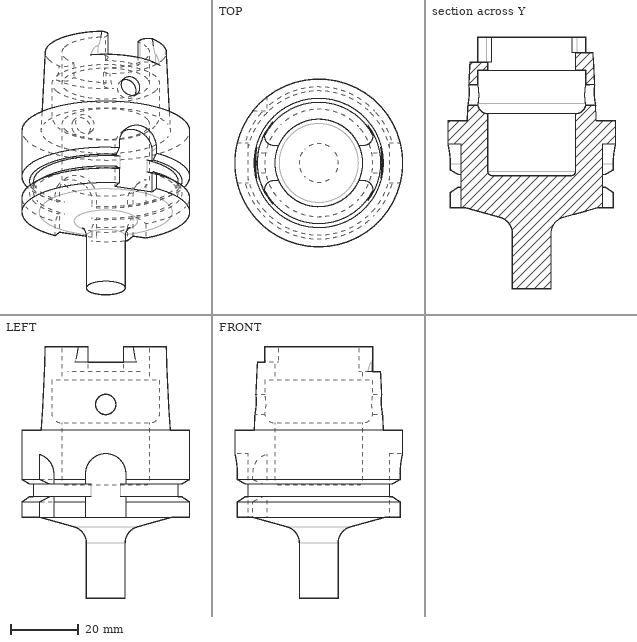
import cadquery as cq
import math

total_height = 74.9

shank_radius = 11.6 / 2
shank_top = 16.5
blend_radius = 4.95
dish_angle = math.radians(15.5)

flange_radius = 49.95 / 2
flange_bottom = 24.1
flange_top = 50.0
groove_radius = 21.5
lip_inner_radius = 22.7
lower_lip_start = 28.7
groove_bottom = 30.25
groove_top = 34.0
upper_lip_end = 35.35

nose_base_radius = 19.25
nose_top_radius = 18.05
bore_radius = 26.1 / 2
chamber_radius = 32.05 / 2
chamber_top = 65.0
chamber_fillet_top = 55.1
chamber_fillet = chamber_radius - bore_radius
floor_radius = 11.75
floor_fillet = bore_radius - floor_radius
floor_height = 33.7
pin_hole_diameter = 6.0
pin_hole_height = 57.7

notch_half_width = 5.25
notch_floor_left = 70.25
notch_floor_right = 67.4
lug_round_radius = 2.7
lug_round_x = 13.4
lug_round_y = notch_half_width + lug_round_radius
lug_flank_length = 3.75

slot_radius = 6.0
slot_arc_height = 37.1
slot_floor_x = 21.05
side_slot_floor_x = 15.4
side_slot_y = side_slot_floor_x + slot_radius

cut_reach = 2 * flange_radius


def revolved_body():
    """Outer shape: shank, blend, dish, grooved flange and tapered nose."""
    blend_x = shank_radius + blend_radius

    def blend_point(angle):
        return (
            blend_x - blend_radius * math.sin(angle),
            shank_top + blend_radius * math.cos(angle),
        )

    blend_end = blend_point(dish_angle)
    blend_middle = blend_point((dish_angle + math.pi / 2) / 2)
    dish_radius = blend_end[0] + (flange_bottom - blend_end[1]) / math.tan(dish_angle)
    return (
        cq.Workplane("XZ")
        .lineTo(shank_radius, 0)
        .lineTo(shank_radius, shank_top)
        .threePointArc(blend_middle, blend_end)
        .lineTo(dish_radius, flange_bottom)
        .lineTo(flange_radius, flange_bottom)
        .lineTo(flange_radius, lower_lip_start)
        .lineTo(lip_inner_radius, groove_bottom)
        .lineTo(groove_radius, groove_bottom)
        .lineTo(groove_radius, groove_top)
        .lineTo(lip_inner_radius, groove_top)
        .lineTo(flange_radius, upper_lip_end)
        .lineTo(flange_radius, flange_top)
        .lineTo(nose_base_radius, flange_top)
        .lineTo(nose_top_radius, total_height)
        .lineTo(0, total_height)
        .close()
        .revolve(360, (0, 0, 0), (0, 1, 0))
    )


def nose_cavity():
    """Blind bore with a filleted floor and a wider chamber partway down."""
    return (
        cq.Workplane("XZ")
        .moveTo(0, floor_height)
        .lineTo(floor_radius, floor_height)
        .radiusArc((bore_radius, floor_height + floor_fillet), -floor_fillet)
        .lineTo(bore_radius, chamber_fillet_top - chamber_fillet)
        .radiusArc((chamber_radius, chamber_fillet_top), -chamber_fillet)
        .lineTo(chamber_radius, chamber_top)
        .lineTo(bore_radius, chamber_top)
        .lineTo(bore_radius, total_height)
        .lineTo(0, total_height)
        .close()
        .revolve(360, (0, 0, 0), (0, 1, 0))
    )


def pin_hole():
    """Cross hole along X through both nose walls."""
    return (
        cq.Workplane("YZ")
        .center(0, pin_hole_height)
        .circle(pin_hole_diameter / 2)
        .extrude(cut_reach, both=True)
    )


def drive_notch(floor_z):
    """Notch on the +X side; its outer corners are rounded and run out through the nose."""
    depth = total_height - floor_z
    out_angle = math.atan2(lug_round_y, lug_round_x)
    end_x = lug_round_x + lug_round_radius * math.cos(out_angle)
    end_y = lug_round_y + lug_round_radius * math.sin(out_angle)
    flank_x = end_x - lug_flank_length * math.sin(out_angle)
    flank_y = end_y + lug_flank_length * math.cos(out_angle)
    middle_angle = (out_angle - math.pi / 2) / 2
    middle_x = lug_round_x + lug_round_radius * math.cos(middle_angle)
    middle_y = lug_round_y + lug_round_radius * math.sin(middle_angle)
    return (
        cq.Workplane("XY", origin=(0, 0, floor_z))
        .moveTo(0, -notch_half_width)
        .lineTo(lug_round_x, -notch_half_width)
        .threePointArc((middle_x, -middle_y), (end_x, -end_y))
        .lineTo(flank_x, -flank_y)
        .lineTo(cut_reach, -flank_y)
        .lineTo(cut_reach, flank_y)
        .lineTo(flank_x, flank_y)
        .lineTo(end_x, end_y)
        .threePointArc((middle_x, middle_y), (lug_round_x, notch_half_width))
        .lineTo(0, notch_half_width)
        .close()
        .extrude(depth)
    )


def flange_slot(floor_x, center_y):
    """Round-topped slot on the +X side, open through the flange underside."""
    return (
        cq.Workplane("YZ", origin=(floor_x, center_y, 0))
        .moveTo(-slot_radius, flange_bottom)
        .lineTo(-slot_radius, slot_arc_height)
        .threePointArc((0, slot_arc_height + slot_radius), (slot_radius, slot_arc_height))
        .lineTo(slot_radius, flange_bottom)
        .close()
        .extrude(cut_reach)
    )


def to_left_side(cutter):
    """Mirror a +X cutter to the -X side."""
    return cutter.mirror("YZ")


result = (
    revolved_body()
    .cut(nose_cavity())
    .cut(pin_hole())
    .cut(drive_notch(notch_floor_right))
    .cut(to_left_side(drive_notch(notch_floor_left)))
    .cut(flange_slot(slot_floor_x, 0))
    .cut(to_left_side(flange_slot(slot_floor_x, 0)))
    .cut(to_left_side(flange_slot(side_slot_floor_x, side_slot_y)))
)